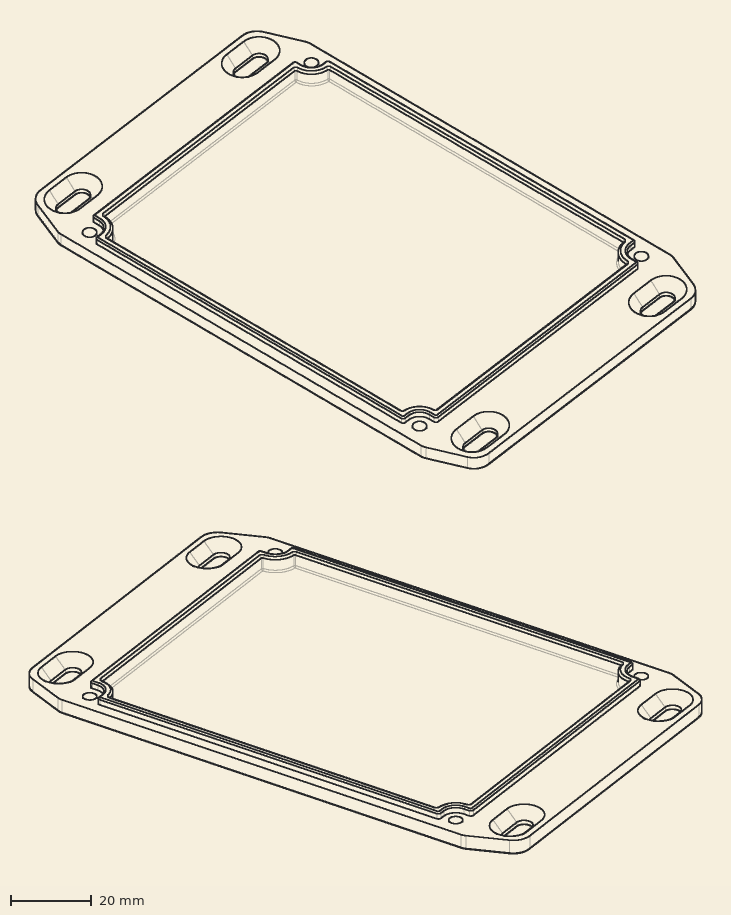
import cadquery as cq
import math

plate_length = 148.0
plate_width = 94.0
plate_thickness = 4.1
corner_run = 13.9
corner_drop = 5.6
side_corner_radius = 4.9
end_corner_radius = 3.5
bottom_edge_chamfer = 0.5

total_height = 6.0
ridge_length = 113.7
ridge_width = 87.8
ridge_wall = 2.2
ridge_corner_radius = 0.7
ridge_outer_chamfer = 0.5
ridge_inner_chamfer = 0.6
recess_corner_radius = 0.3
recess_floor = 2.0
floor_fillet = 0.5

screw_spacing_x = 109.0
screw_spacing_y = 83.6
screw_diameter = 3.5
notch_radius = 3.5

slot_spacing_x = 134.4
slot_spacing_y = 66.9
slot_width = 4.5
slot_length = 10.8
slot_mouth_width = 10.2
slot_land = 1.2
slot_direction = 90


def four_points(spacing_x, spacing_y):
    """Points at the corners of a centred rectangle."""
    return cq.Workplane("XY").rect(spacing_x, spacing_y, forConstruction=True).vertices()


def make_plate():
    """Plate whose corners are cut at a shallow angle and rounded."""
    half_x = plate_length / 2
    half_y = plate_width / 2
    inner_x = half_x - corner_run
    inner_y = half_y - corner_drop
    plate = (
        cq.Workplane("XY")
        .polyline(
            [
                (half_x, -inner_y),
                (half_x, inner_y),
                (inner_x, half_y),
                (-inner_x, half_y),
                (-half_x, inner_y),
                (-half_x, -inner_y),
                (-inner_x, -half_y),
                (inner_x, -half_y),
            ]
        )
        .close()
        .extrude(plate_thickness)
    )
    plate = plate.edges("|Z and (<X or >X)").fillet(side_corner_radius)
    plate = plate.edges("|Z and (<Y or >Y)").fillet(end_corner_radius)
    return plate.faces("<Z").edges().chamfer(bottom_edge_chamfer)


def make_ridge():
    """Solid block inside the ridge outline, with a rounded notch around each screw hole."""
    notch_side = 4 * notch_radius
    center_shift = notch_side - 2 * notch_radius
    notches = (
        four_points(screw_spacing_x + center_shift, screw_spacing_y + center_shift)
        .rect(notch_side, notch_side)
        .extrude(total_height)
        .edges("|Z")
        .fillet(notch_radius)
    )
    block = cq.Workplane("XY").rect(ridge_length, ridge_width).extrude(total_height).cut(notches)
    block = block.edges("|Z").edges("<X or >X or <Y or >Y").fillet(ridge_corner_radius)
    return block.faces(">Z").edges().chamfer(ridge_outer_chamfer)


def make_recess():
    """Pocket inside the ridge, its corners wrapping around the screw holes at the wall thickness."""
    height = total_height - recess_floor
    recess = (
        cq.Workplane("XY")
        .rect(ridge_length - 2 * ridge_wall, ridge_width - 2 * ridge_wall)
        .extrude(height)
        .cut(four_points(screw_spacing_x, screw_spacing_y).circle(notch_radius + ridge_wall).extrude(height))
    )
    recess = recess.edges("|Z").fillet(recess_corner_radius)
    recess = recess.faces("<Z").edges().fillet(floor_fillet)
    return recess.translate((0, 0, recess_floor))


def make_body():
    """Plate with the hollow ridge on it, the inner rim of the ridge chamfered."""
    body = make_plate().union(make_ridge()).cut(make_recess())
    rim = body.faces(">Z").val().innerWires()[0]
    return body.newObject(rim.Edges()).chamfer(ridge_inner_chamfer)


def make_screw_holes():
    """Plain through holes in the ridge notches."""
    centers = four_points(screw_spacing_x, screw_spacing_y)
    return centers.circle(screw_diameter / 2).extrude(plate_thickness)


def make_slots():
    """Through slots along Y that flare outward above a short straight land."""
    through = (
        four_points(slot_spacing_x, slot_spacing_y)
        .slot2D(slot_length, slot_width, slot_direction)
        .extrude(plate_thickness)
    )
    flare_depth = plate_thickness - slot_land
    flare_width = (slot_mouth_width - slot_width) / 2
    flare_angle = math.degrees(math.atan2(flare_width, flare_depth))
    mouths = (
        four_points(slot_spacing_x, slot_spacing_y)
        .slot2D(slot_length, slot_width, slot_direction)
        .extrude(flare_depth, taper=-flare_angle)
    )
    return through.union(mouths.translate((0, 0, slot_land)))


result = make_body().cut(make_screw_holes()).cut(make_slots())